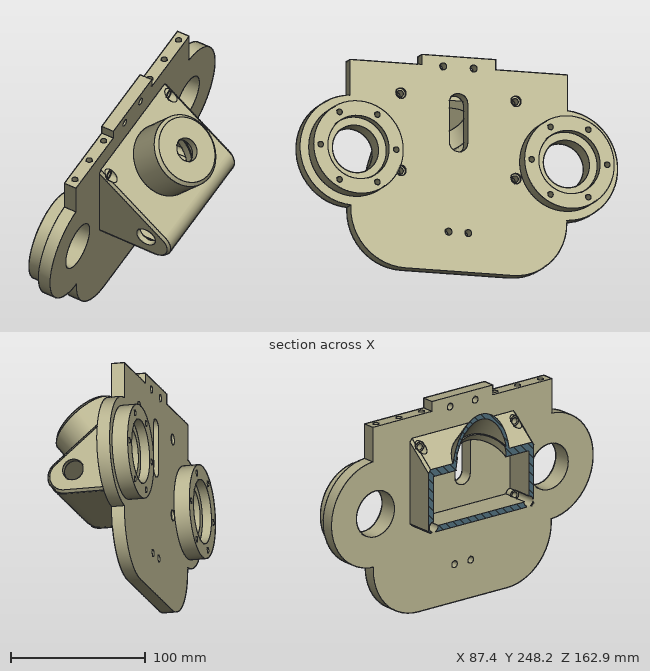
import cadquery as cq
import math

MOUNT_CENTER_Y = 0.2

PLATE_THICKNESS = 10.0
PLATE_TOP = 68.7
PLATE_BOTTOM = -86.4
PLATE_WIDTH = 170.0
LOWER_WIDTH = 168.8
LOWER_CORNER_RADIUS = 42.2
TAB_WIDTH = 57.8
TAB_TOP = 76.5

OVERALL_LENGTH = 248.2
LOBE_RADIUS = 41.7
RING_CENTER_Y = OVERALL_LENGTH / 2 - LOBE_RADIUS
RING_DIAMETER = 70.0
RING_HEIGHT = 12.0
RING_BORE = 36.0
RING_COUNTERBORE = 48.0
RING_COUNTERBORE_DEPTH = 7.0
RING_SCREW_DIAMETER = 4.2
RING_SCREW_CIRCLE = 59.0
RING_SCREW_COUNT = 6

SLOT_WIDTH = 14.5
SLOT_BOTTOM = 4.5
SLOT_TOP = 48.6

TAB_HOLE_DIAMETER = 5.2
TAB_HOLE_Y = 12.0
TAB_HOLE_Z = 68.5
LOWER_HOLE_DIAMETER = 5.2
LOWER_HOLE_Y = 7.7
LOWER_HOLE_Z = -56.5

TOP_HOLE_DIAMETER = 4.5
TOP_HOLE_DEPTH = 15.0
TOP_HOLE_FIRST_Y = 34.7
TOP_HOLE_PITCH = 21.5
TOP_HOLE_COUNT = 3

BOLT_Y = 45.0
BOLT_HEIGHTS = (-12.7, 46.0)
BOLT_DIAMETER = 5.0
BOLT_HEAD_DIAMETER = 8.0
PLATE_COUNTERBORE_DEPTH = 2.0
BOLT_SEAT_HEIGHT = 5.2

BRACKET_WIDTH = 100.0
BRACKET_BOTTOM = -17.0
BRACKET_TIP_RADIUS = 13.0
BRACKET_TIP_X = 56.5
BRACKET_TIP_Z = BRACKET_BOTTOM + BRACKET_TIP_RADIUS
SLOPE_ANGLE = 40.0
WALL = 5.0
EDGE_CHAMFER = 2.0
PIN_HOLE_DIAMETER = 16.0
PIN_HOLE_X = 49.6

CUP_FOOT_X = 36.7
CUP_DIAMETER = 55.0
CUP_HEIGHT = 30.0
CUP_CHAMFER = 2.5
CUP_CAVITY_DIAMETER = 49.5
CUP_MOUTH_DIAMETER = 47.5
CUP_LEDGE_HEIGHT = 1.7
CUP_CAP_THICKNESS = 6.0
CUP_BORE = 18.0

SLOPE_SIN = math.sin(math.radians(SLOPE_ANGLE))
SLOPE_COS = math.cos(math.radians(SLOPE_ANGLE))
SLOPE_TAN = SLOPE_SIN / SLOPE_COS


def rod(diameter, start_x, end_x, points):
    """Cylinders along X at the given (y, z) points."""
    return (
        cq.Workplane("YZ", origin=(start_x, 0, 0))
        .pushPoints(points)
        .circle(diameter / 2)
        .extrude(end_x - start_x)
    )


def mirrored(y, z):
    """A pair of (y, z) points on either side of the centreline."""
    return [(-y, z), (y, z)]


def block(width, bottom, top):
    """A plate-thick rectangle centred on Y = 0."""
    return cq.Workplane("XY", origin=(0, 0, bottom)).box(
        PLATE_THICKNESS, width, top - bottom, centered=(False, True, False)
    )


BOLT_POINTS = [point for z in BOLT_HEIGHTS for point in mirrored(BOLT_Y, z)]
RING_POINTS = mirrored(RING_CENTER_Y, 0)


def plate_blank():
    upper = block(PLATE_WIDTH, 0, PLATE_TOP)
    lower = block(LOWER_WIDTH, PLATE_BOTTOM, 0).edges("|X and <Z").fillet(LOWER_CORNER_RADIUS)
    tab = block(TAB_WIDTH, 0, TAB_TOP)
    lobes = rod(2 * LOBE_RADIUS, 0, PLATE_THICKNESS, RING_POINTS)
    return upper.union(lower).union(tab).union(lobes)


def add_rings(plate):
    plate = plate.union(rod(RING_DIAMETER, -RING_HEIGHT, PLATE_THICKNESS, RING_POINTS))
    plate = plate.cut(rod(RING_BORE, -RING_HEIGHT, PLATE_THICKNESS, RING_POINTS))
    recess_floor = -RING_HEIGHT + RING_COUNTERBORE_DEPTH
    plate = plate.cut(rod(RING_COUNTERBORE, -RING_HEIGHT, recess_floor, RING_POINTS))
    for center_y, center_z in RING_POINTS:
        screws = (
            cq.Workplane("YZ", origin=(-RING_HEIGHT, center_y, center_z))
            .polarArray(RING_SCREW_CIRCLE / 2, 0, 360, RING_SCREW_COUNT)
            .circle(RING_SCREW_DIAMETER / 2)
            .extrude(RING_HEIGHT)
        )
        plate = plate.cut(screws)
    return plate


def plate_slot():
    return (
        cq.Workplane("YZ", origin=(0, 0, (SLOT_TOP + SLOT_BOTTOM) / 2))
        .slot2D(SLOT_TOP - SLOT_BOTTOM, SLOT_WIDTH, 90)
        .extrude(PLATE_THICKNESS)
    )


def top_edge_holes():
    """Blind holes going down from the two shoulders beside the tab."""
    rows = [TOP_HOLE_FIRST_Y + i * TOP_HOLE_PITCH for i in range(TOP_HOLE_COUNT)]
    points = [(PLATE_THICKNESS / 2, side * y) for side in (-1, 1) for y in rows]
    return (
        cq.Workplane("XY", origin=(0, 0, PLATE_TOP))
        .pushPoints(points)
        .circle(TOP_HOLE_DIAMETER / 2)
        .extrude(-TOP_HOLE_DEPTH)
    )


def make_plate():
    plate = add_rings(plate_blank())
    plate = plate.cut(top_edge_holes())
    mount_cuts = [
        plate_slot(),
        rod(TAB_HOLE_DIAMETER, 0, PLATE_THICKNESS, mirrored(TAB_HOLE_Y, TAB_HOLE_Z)),
        rod(LOWER_HOLE_DIAMETER, 0, PLATE_THICKNESS, mirrored(LOWER_HOLE_Y, LOWER_HOLE_Z)),
        rod(BOLT_DIAMETER, 0, PLATE_THICKNESS, BOLT_POINTS),
        rod(BOLT_HEAD_DIAMETER, 0, PLATE_COUNTERBORE_DEPTH, BOLT_POINTS),
    ]
    for cutter in mount_cuts:
        plate = plate.cut(cutter.translate((0, MOUNT_CENTER_Y, 0)))
    return plate


def slope_start(tip_radius):
    """Point (x, z) where the round tip meets the sloping top."""
    return BRACKET_TIP_X + tip_radius * SLOPE_SIN, BRACKET_TIP_Z + tip_radius * SLOPE_COS


def wedge(tip_radius, width):
    """Side profile with a flat bottom, a round tip and a sloping top, extruded along Y."""
    slope_x, slope_z = slope_start(tip_radius)
    back_top = slope_z + (slope_x - PLATE_THICKNESS) * SLOPE_TAN
    bottom = BRACKET_TIP_Z - tip_radius
    return (
        cq.Workplane("XZ")
        .moveTo(PLATE_THICKNESS, bottom)
        .lineTo(BRACKET_TIP_X, bottom)
        .threePointArc((BRACKET_TIP_X + tip_radius, BRACKET_TIP_Z), (slope_x, slope_z))
        .lineTo(PLATE_THICKNESS, back_top)
        .close()
        .extrude(width / 2, both=True)
    )


def cup_plane():
    """Plane on the sloping face, with its normal along the cup axis."""
    slope_x, slope_z = slope_start(BRACKET_TIP_RADIUS)
    foot_z = slope_z + (slope_x - CUP_FOOT_X) * SLOPE_TAN
    return cq.Plane(origin=(CUP_FOOT_X, 0, foot_z), xDir=(0, 1, 0), normal=(SLOPE_SIN, 0, SLOPE_COS))


def cup_disc(diameter, start, end):
    """A cylinder on the cup axis, between two heights above the sloping face."""
    return cq.Workplane(cup_plane()).workplane(offset=start).circle(diameter / 2).extrude(end - start)


def bracket_shell():
    outer_sides = "(<Y or >Y) and (not <X)"
    outer = wedge(BRACKET_TIP_RADIUS, BRACKET_WIDTH).edges(outer_sides).chamfer(EDGE_CHAMFER)
    inner = wedge(BRACKET_TIP_RADIUS - WALL, BRACKET_WIDTH - 2 * WALL)
    pin_hole = (
        cq.Workplane("XZ")
        .center(PIN_HOLE_X, 0)
        .circle(PIN_HOLE_DIAMETER / 2)
        .extrude(BRACKET_WIDTH / 2, both=True)
    )
    return outer.cut(inner).cut(pin_hole)


def add_cup(bracket):
    cup = cup_disc(CUP_DIAMETER, 0, CUP_HEIGHT)
    cup = cup.faces(cq.selectors.DirectionMinMaxSelector(cup_plane().zDir)).chamfer(CUP_CHAMFER)
    mouth = cup_disc(CUP_MOUTH_DIAMETER, -WALL, CUP_LEDGE_HEIGHT)
    cavity = cup_disc(CUP_CAVITY_DIAMETER, CUP_LEDGE_HEIGHT, CUP_HEIGHT - CUP_CAP_THICKNESS)
    bore = cup_disc(CUP_BORE, 0, CUP_HEIGHT)
    return bracket.union(cup).cut(mouth).cut(cavity).cut(bore)


def add_bolt_seats(bracket):
    """Round seats in the corners, with bolt holes and room for the bolt heads beyond them."""
    seat_x = PLATE_THICKNESS + BOLT_SEAT_HEIGHT
    tip_x = BRACKET_TIP_X + BRACKET_TIP_RADIUS
    bracket = bracket.union(rod(BOLT_HEAD_DIAMETER, PLATE_THICKNESS, seat_x, BOLT_POINTS))
    bracket = bracket.cut(rod(BOLT_HEAD_DIAMETER, seat_x, tip_x, BOLT_POINTS))
    return bracket.cut(rod(BOLT_DIAMETER, PLATE_THICKNESS, seat_x, BOLT_POINTS))


def make_bracket():
    bracket = add_cup(add_bolt_seats(bracket_shell()))
    return bracket.translate((0, MOUNT_CENTER_Y, 0))


plate = make_plate()
bracket = make_bracket()
result = cq.Compound.makeCompound([plate.val(), bracket.val()])